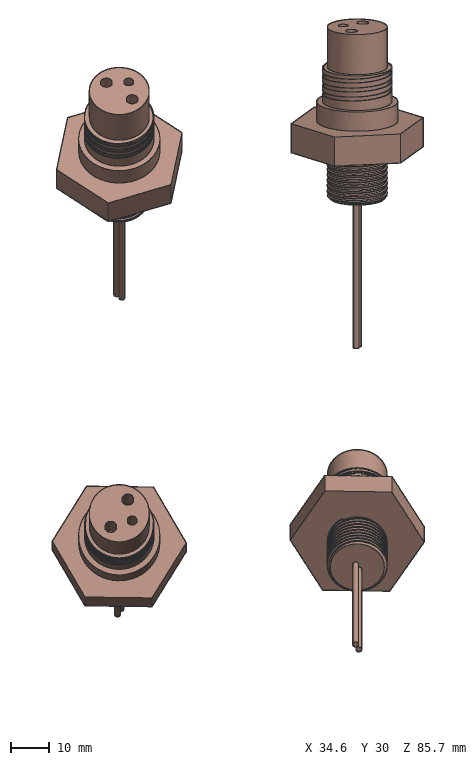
import cadquery as cq
import math

stem_bottom = 39.85
nut_bottom = 52.8
nut_top = 60.6
collar_top = 65.7
barrel_top = 75.0
total_height = 85.7

nut_across_flats = 30.0
nut_across_corners = nut_across_flats / math.cos(math.pi / 6)
collar_diameter = 21.0
barrel_diameter = 18.0
insert_diameter = 15.5

stem_major_diameter = 15.5
stem_core_diameter = 14.65
ridge_turns = 9
stem_chamfer = 0.8
ridge_root_width = 1.1
ridge_crest_width = 0.4
ridge_bottom = stem_bottom + 0.1
ridge_top = nut_bottom - 0.2
stem_pitch = (ridge_top - ridge_bottom) / ridge_turns

groove_pitch = 2.4
groove_width = 1.0
groove_depth = 0.25
groove_bottom = 68.1
groove_start_angle = 100.0

large_hole_diameter = 3.0
large_hole_offset = 4.3
small_hole_diameter = 2.5
small_hole_offset = 3.85
hole_depth = 8.6

wire_diameter = 1.5
wire_spacing = 1.7

overlap = 0.2


def cylinder(diameter, bottom, top):
    return cq.Workplane("XY").workplane(offset=bottom).circle(diameter / 2).extrude(top - bottom)


def helical_sweep(profile, radius, pitch, bottom, top):
    """Sweep radius-height points, given from the path start, along a right-hand helix."""
    path = cq.Wire.makeHelix(pitch, top - bottom, radius, center=cq.Vector(0, 0, bottom))
    section = cq.Workplane("XZ").polyline([(r, bottom + z) for r, z in profile]).close()
    return section.sweep(cq.Workplane(obj=path), isFrenet=True)


def stem_end_trimmer():
    """Ring with a conical bore that bevels the thread and squares off the stem end."""
    end_radius = stem_major_diameter / 2 - stem_chamfer
    reach = stem_chamfer + overlap
    profile = [
        (0, stem_bottom - stem_pitch),
        (end_radius + 2 * reach, stem_bottom - stem_pitch),
        (end_radius + 2 * reach, stem_bottom + reach),
        (end_radius + reach, stem_bottom + reach),
        (end_radius, stem_bottom),
        (0, stem_bottom),
    ]
    return cq.Workplane("XZ").polyline(profile).close().revolve(360, (0, 0), (0, 1))


def make_stem():
    core_radius = stem_core_diameter / 2
    crest_radius = stem_major_diameter / 2
    core = cylinder(stem_core_diameter, stem_bottom, nut_bottom + overlap)
    ridge_profile = [
        (core_radius - overlap, -ridge_root_width / 2),
        (crest_radius, -ridge_crest_width / 2),
        (crest_radius, ridge_crest_width / 2),
        (core_radius - overlap, ridge_root_width / 2),
    ]
    ridge = helical_sweep(ridge_profile, core_radius, stem_pitch, ridge_bottom, ridge_top)
    return core.union(ridge).cut(stem_end_trimmer())


def make_barrel():
    outer_radius = barrel_diameter / 2
    barrel = cylinder(barrel_diameter, collar_top, barrel_top)
    groove_profile = [
        (outer_radius - groove_depth, -groove_width / 2),
        (outer_radius + overlap, -groove_width / 2),
        (outer_radius + overlap, groove_width / 2),
        (outer_radius - groove_depth, groove_width / 2),
    ]
    groove_top = barrel_top + groove_width
    groove = helical_sweep(groove_profile, outer_radius, groove_pitch, groove_bottom, groove_top)
    groove = groove.rotate((0, 0, 0), (0, 0, 1), groove_start_angle)
    return barrel.cut(groove)


def make_nut():
    nut = cq.Workplane("XY").workplane(offset=nut_bottom)
    return nut.polygon(6, nut_across_corners).extrude(nut_top - nut_bottom)


def drill_contact_holes(body):
    face = cq.Workplane("XY").workplane(offset=total_height)
    large_points = [(-large_hole_offset, 0), (large_hole_offset, 0)]
    large = face.pushPoints(large_points).circle(large_hole_diameter / 2).extrude(-hole_depth)
    small = face.center(0, small_hole_offset).circle(small_hole_diameter / 2).extrude(-hole_depth)
    return body.cut(large).cut(small)


def make_wires():
    wires = cq.Workplane("XY").pushPoints([(-wire_spacing / 2, 0), (wire_spacing / 2, 0)])
    return wires.circle(wire_diameter / 2).extrude(stem_bottom + overlap)


result = make_nut().union(make_stem())
result = result.union(cylinder(collar_diameter, nut_top, collar_top))
result = result.union(make_barrel())
result = result.union(cylinder(insert_diameter, barrel_top, total_height))
result = drill_contact_holes(result).union(make_wires())